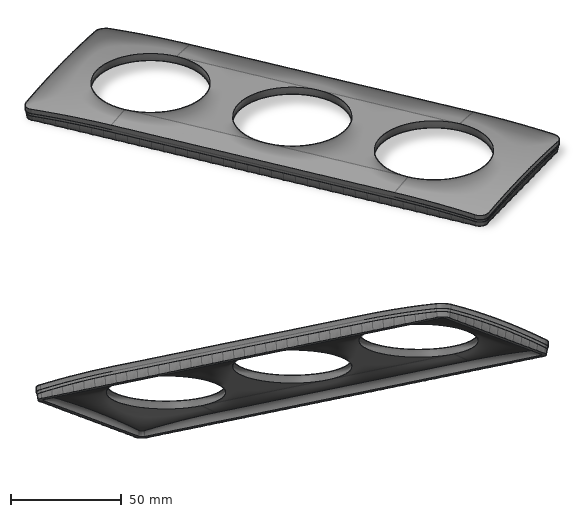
import cadquery as cq
import math

LENGTH = 232.0
WIDTH = 82.0
HEIGHT = 8.8
CORNER_RADIUS = 4.9

HOLE_DIAMETER = 53.8
HOLE_PITCH = 71.0
HOLE_COUNT = 3

EDGE_FALL = 0.97
CORNER_FALL = 3.0

WALL_HEIGHT = 2.3
LIP_HEIGHT = 1.5
LIP_DRAFT = 6.0

SKIRT_SECTIONS = (
    (5.0, 0.12, 0.02),
    (1.6, 0.58, 0.07),
    (0.0, 0.85, 0.3),
)
SKIRT_THICKNESS = 2.3
SCALLOPS_ALONG_LENGTH = 37
SCALLOPS_ALONG_WIDTH = 12

end_hole_x = HOLE_PITCH * (HOLE_COUNT - 1) / 2
hole_radius = HOLE_DIAMETER / 2
half_width = WIDTH / 2
half_length = LENGTH / 2
corner_reach = math.hypot(half_length - end_hole_x, half_width)
lip_top = HEIGHT - WALL_HEIGHT
lip_bottom = lip_top - LIP_HEIGHT
bottom_inset = SKIRT_SECTIONS[-1][1]


def crown_half_section(height):
    """Section from the middle line out to the farthest corner, in Y and Z."""
    return (
        cq.Workplane("YZ")
        .lineTo(0, height)
        .lineTo(hole_radius, height)
        .threePointArc((half_width, height - EDGE_FALL), (corner_reach, height - CORNER_FALL))
        .lineTo(corner_reach, 0)
        .close()
    )


def crowned_solid(height):
    """Solid from z = 0 up to a crown whose flat part lies at the given height."""
    half_bar = crown_half_section(height).extrude(end_hole_x, both=True)
    body = half_bar.union(half_bar.mirror("XZ"))
    end_cap = crown_half_section(height).revolve(360, (0, 0, 0), (0, 1, 0))
    for side in (-1, 1):
        body = body.union(end_cap.translate((side * end_hole_x, 0, 0)))
    return body


def plan_outline(z, inset=0.0):
    """Rounded rectangle at height z, its sides moved in by the inset."""
    rectangle = cq.Sketch().rect(LENGTH - 2 * inset, WIDTH - 2 * inset)
    rounded = rectangle.vertices().fillet(CORNER_RADIUS - inset)
    return cq.Workplane("XY", origin=(0, 0, z)).placeSketch(rounded)


def rim():
    """Crowned plate with an upright wall over a lip that drafts inward."""
    wall = plan_outline(0).extrude(HEIGHT).intersect(crowned_solid(HEIGHT))
    lip_crown = crowned_solid(lip_top)
    lip_top_at_side = lip_top - EDGE_FALL
    drafted = plan_outline(lip_top_at_side).extrude(-lip_top_at_side, taper=LIP_DRAFT)
    core = plan_outline(lip_top_at_side).extrude(HEIGHT).union(drafted)
    lip = core.intersect(lip_crown).cut(crowned_solid(lip_bottom))
    return wall.cut(lip_crown).union(lip)


def scalloped_side(z, inset, depth, side_length, side_reach, scallop_count):
    """Edges of the side facing -Y, each bowed inward, and of the corner after it."""
    y = inset - side_reach
    run = side_length - 2 * CORNER_RADIUS
    pitch = run / scallop_count
    edges = []
    for index in range(scallop_count):
        x = index * pitch - run / 2
        edges.append(
            cq.Edge.makeThreePointArc(
                cq.Vector(x, y, z),
                cq.Vector(x + pitch / 2, y + depth, z),
                cq.Vector(x + pitch, y, z),
            )
        )
    radius = CORNER_RADIUS - inset
    diagonal = radius * math.sqrt(0.5)
    edges.append(
        cq.Edge.makeThreePointArc(
            cq.Vector(run / 2, y, z),
            cq.Vector(run / 2 + diagonal, y + radius - diagonal, z),
            cq.Vector(run / 2 + radius, y + radius, z),
        )
    )
    return edges


def skirt_outline(z, inset, depth):
    long_side = scalloped_side(z, inset, depth, LENGTH, half_width, SCALLOPS_ALONG_LENGTH)
    short_side = scalloped_side(z, inset, depth, WIDTH, half_length, SCALLOPS_ALONG_WIDTH)
    edges = []
    for turn, side in enumerate((long_side, short_side, long_side, short_side)):
        edges += [edge.rotate(cq.Vector(), cq.Vector(0, 0, 1), 90 * turn) for edge in side]
    return cq.Wire.assembleEdges(edges)


def skirt():
    """Ring that hangs from the lip, open inside all the way up to the rim."""
    outlines = [skirt_outline(*section) for section in SKIRT_SECTIONS]
    cavity = plan_outline(0, bottom_inset + SKIRT_THICKNESS).extrude(HEIGHT)
    block = cq.Workplane(cq.Solid.makeLoft(outlines))
    return block.intersect(crowned_solid(lip_bottom)).cut(cavity)


def holes():
    return (
        cq.Workplane("XY")
        .rarray(HOLE_PITCH, 2.3, HOLE_COUNT, 1)
        .circle(hole_radius)
        .extrude(HEIGHT)
    )


result = rim().union(skirt()).cut(holes())